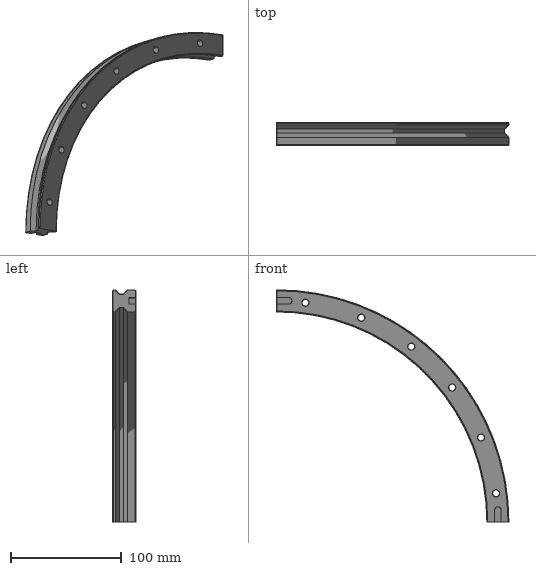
import cadquery as cq
import math

outer_radius = 210.0
radial_width = 20.0
thickness = 21.0
sweep_angle = 90.0
inner_radius = outer_radius - radial_width
middle_radius = outer_radius - radial_width / 2
edge_chamfer = 0.8

groove_depth = 3.8
groove_floor_width = 3.5
groove_centre_y = thickness - 8.0
groove_floor_half = groove_floor_width / 2
groove_mouth_half = groove_floor_half + groove_depth

hole_count = 6
hole_diameter = 6.0
hole_pitch = sweep_angle / hole_count

slot_width = 5.9
slot_length = 13.9
slot_depth = 6.3


def rim_points(rim_radius, inward):
    """Rim outline from front to back; inward is the radial sign into the rail."""
    chamfer_radius = rim_radius + inward * edge_chamfer
    floor_radius = rim_radius + inward * groove_depth
    return [
        (chamfer_radius, 0),
        (rim_radius, edge_chamfer),
        (rim_radius, groove_centre_y - groove_mouth_half),
        (floor_radius, groove_centre_y - groove_floor_half),
        (floor_radius, groove_centre_y + groove_floor_half),
        (rim_radius, groove_centre_y + groove_mouth_half),
        (rim_radius, thickness - edge_chamfer),
        (chamfer_radius, thickness),
    ]


def make_rail():
    outer_rim = rim_points(outer_radius, -1)
    inner_rim = rim_points(inner_radius, 1)
    section = cq.Workplane("XY").polyline(outer_rim + inner_rim[::-1]).close()
    return section.revolve(sweep_angle, (0, 0, 0), (0, -1, 0))


def make_holes():
    angles = [math.radians((i + 0.5) * hole_pitch) for i in range(hole_count)]
    centres = [(middle_radius * math.cos(a), middle_radius * math.sin(a)) for a in angles]
    return cq.Workplane("XZ").pushPoints(centres).circle(hole_diameter / 2).extrude(-thickness)


def make_end_slot():
    """Slot at the lower end of the rail, running up from Z = 0."""
    half_width = slot_width / 2
    return (
        cq.Workplane("XZ")
        .moveTo(middle_radius - half_width, 0)
        .lineTo(middle_radius - half_width, slot_length - half_width)
        .threePointArc(
            (middle_radius, slot_length),
            (middle_radius + half_width, slot_length - half_width),
        )
        .lineTo(middle_radius + half_width, 0)
        .close()
        .extrude(-slot_depth)
    )


lower_slot = make_end_slot()
upper_slot = lower_slot.mirror("XY").rotate((0, 0, 0), (0, 1, 0), -sweep_angle)

result = make_rail().cut(make_holes()).cut(lower_slot).cut(upper_slot)